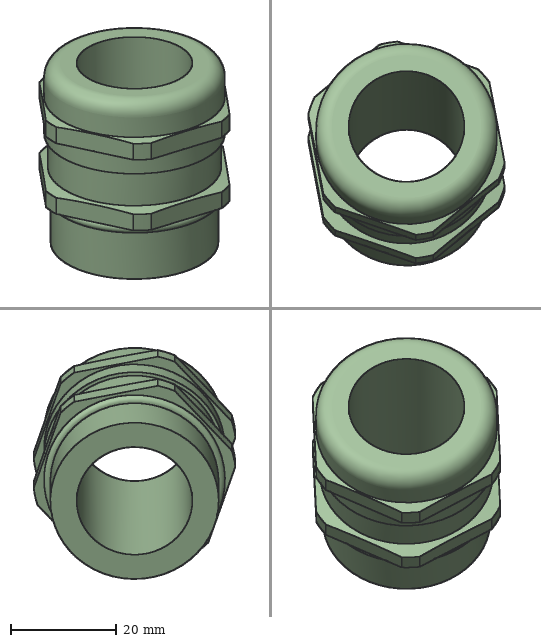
import cadquery as cq
import math

seal_bottom = 10.07
lower_hex_bottom = 12.0
cap_bottom = 23.0
upper_hex_bottom = 27.02
total_height = 38.0

bore_diameter = 22.0
thread_diameter = 32.0
body_diameter = 33.0
cap_diameter = 34.45
seal_diameter = 34.45

cap_edge_radius = 3.0

across_flats = 35.0
corner_diameter = 38.6
hex_height = 3.85
hex_corner_drop = 0.42


def cylinder(diameter, bottom, top):
    return cq.Workplane("XY").workplane(offset=bottom).circle(diameter / 2).extrude(top - bottom)


def hex_collar(bottom):
    """Hexagon with corners on the X axis, trimmed by a turned blank with a conical top."""
    sharp_diameter = across_flats / math.cos(math.pi / 6)
    hexagon = cq.Workplane("XY").workplane(offset=bottom).polygon(6, sharp_diameter).extrude(hex_height)
    top = bottom + hex_height
    blank = (
        cq.Workplane("XZ")
        .moveTo(0, bottom)
        .lineTo(corner_diameter / 2, bottom)
        .lineTo(corner_diameter / 2, top - hex_corner_drop)
        .lineTo(body_diameter / 2, top)
        .lineTo(0, top)
        .close()
        .revolve(360, (0, 0, 0), (0, 1, 0))
    )
    return hexagon.intersect(blank)


def sealing_ring():
    """Ring under the lower collar with a fully rounded outer edge."""
    middle = (seal_bottom + lower_hex_bottom) / 2
    edge_radius = (lower_hex_bottom - seal_bottom) / 2
    flat_radius = seal_diameter / 2 - edge_radius
    return (
        cq.Workplane("XZ")
        .moveTo(0, seal_bottom)
        .lineTo(flat_radius, seal_bottom)
        .threePointArc((seal_diameter / 2, middle), (flat_radius, lower_hex_bottom))
        .lineTo(0, lower_hex_bottom)
        .close()
        .revolve(360, (0, 0, 0), (0, 1, 0))
    )


thread = cylinder(thread_diameter, 0, lower_hex_bottom)
body = cylinder(body_diameter, lower_hex_bottom, cap_bottom)
cap = cylinder(cap_diameter, cap_bottom, total_height).faces(">Z").edges().fillet(cap_edge_radius)
bore = cylinder(bore_diameter, 0, total_height)

result = (
    thread.union(sealing_ring())
    .union(body)
    .union(hex_collar(lower_hex_bottom))
    .union(cap)
    .union(hex_collar(upper_hex_bottom))
    .cut(bore)
)